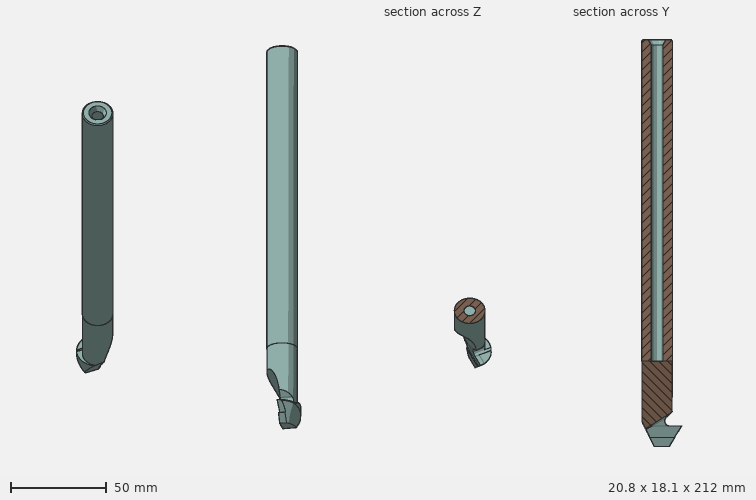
import cadquery as cq
import math

TOTAL_LENGTH = 212.0
CLEARANCE = 84.8

SHANK_DIAMETER = 16.1
SHANK_CHAMFER = 0.6
BORE_DIAMETER = 6.0
CENTRE_MOUTH_DIAMETER = 9.1
CENTRE_ANGLE = 60.0

HEAD_LENGTH = 44.5
NECK_DIAMETER = 16.0

FLANGE_X = -2.3
FLANGE_Y = 0.5
FLANGE_RADIUS = 10.5
FLANGE_HEIGHT = 11.2
FLANK_X = 0.8
FLANK_Y = 2.0
FLANK_BOTTOM_RADIUS = 9.1
FLANK_ANGLE = 26.0

TIP_X = -13.0
TIP_Z = 10.8
EDGE_STEP_Z = 4.9
UPPER_LAND_FOOT_X = -9.1
LOWER_LAND_TOP_X = -9.3
LOWER_LAND_FOOT_X = -6.4
RAKE_DROP = 0.6

BACK_CUT_TOP_Z = 13.1
BACK_CUT_FOOT_X = 1.5

NOTCH_RADIUS = 2.5
NOTCH_CENTRE_X = -6.5
NOTCH_ROOF_ANGLE = 45.0
TIP_LAND_WIDTH = 2.3
TIP_RELIEF_ANGLE = 4.0

FLUTE_FLAT_END = 10.5
FLUTE_RADIUS = 19.5
FLUTE_TILT = 30.0


def make_shank():
    radius = SHANK_DIAMETER / 2
    bore_radius = BORE_DIAMETER / 2
    mouth_radius = CENTRE_MOUTH_DIAMETER / 2
    mouth_depth = (mouth_radius - bore_radius) / math.tan(math.radians(CENTRE_ANGLE / 2))
    half_section = [
        (bore_radius, HEAD_LENGTH),
        (radius, HEAD_LENGTH),
        (radius, TOTAL_LENGTH - SHANK_CHAMFER),
        (radius - SHANK_CHAMFER, TOTAL_LENGTH),
        (mouth_radius, TOTAL_LENGTH),
        (bore_radius, TOTAL_LENGTH - mouth_depth),
    ]
    return cq.Workplane("XZ").polyline(half_section).close().revolve(360, (0, 0), (0, 1))


def make_flange():
    """Offset disc, tapered by the conical flank and trimmed flat along the cutting edge."""
    flange = cq.Workplane("XY").center(FLANGE_X, FLANGE_Y).circle(FLANGE_RADIUS).extrude(FLANGE_HEIGHT)
    top_radius = FLANK_BOTTOM_RADIUS + FLANGE_HEIGHT * math.tan(math.radians(FLANK_ANGLE))
    flank = cq.Solid.makeCone(
        FLANK_BOTTOM_RADIUS, top_radius, FLANGE_HEIGHT, pnt=cq.Vector(FLANK_X, FLANK_Y, 0)
    )
    lands = [
        (TIP_X, FLANGE_HEIGHT),
        (TIP_X, TIP_Z),
        (UPPER_LAND_FOOT_X, EDGE_STEP_Z),
        (LOWER_LAND_TOP_X, EDGE_STEP_Z),
        (LOWER_LAND_FOOT_X, 0),
        (CLEARANCE, 0),
        (CLEARANCE, FLANGE_HEIGHT),
    ]
    lands_envelope = cq.Workplane("XZ").polyline(lands).close().extrude(CLEARANCE, both=True)
    return flange.intersect(cq.Workplane(flank)).intersect(lands_envelope)


def make_notch():
    """Notch along Y through the head: flat floor, round root and sloping roof."""
    centre_z = TIP_Z + NOTCH_RADIUS
    roof_angle = math.radians(NOTCH_ROOF_ANGLE)
    root_x = NOTCH_CENTRE_X + NOTCH_RADIUS
    roof_x = NOTCH_CENTRE_X + NOTCH_RADIUS * math.sin(roof_angle)
    roof_z = centre_z + NOTCH_RADIUS * math.cos(roof_angle)
    mouth_x = 2 * TIP_X
    mouth_roof_z = roof_z + (roof_x - mouth_x) * math.tan(roof_angle)
    return (
        cq.Workplane("XZ")
        .moveTo(mouth_x, TIP_Z)
        .lineTo(NOTCH_CENTRE_X, TIP_Z)
        .radiusArc((root_x, centre_z), -NOTCH_RADIUS)
        .radiusArc((roof_x, roof_z), -NOTCH_RADIUS)
        .lineTo(mouth_x, mouth_roof_z)
        .close()
        .extrude(CLEARANCE, both=True)
    )


def make_tip_relief():
    """Wedge that slopes the notch floor down towards -Y behind the land of the tip."""
    drop = CLEARANCE * math.tan(math.radians(TIP_RELIEF_ANGLE))
    near_y = -TIP_LAND_WIDTH
    far_y = near_y - CLEARANCE
    wedge = [(near_y, TIP_Z), (far_y, TIP_Z), (far_y, TIP_Z - drop)]
    return cq.Workplane("YZ", origin=(NOTCH_CENTRE_X, 0, 0)).polyline(wedge).close().extrude(-CLEARANCE)


def make_flute():
    """Flat rake plane that rises through an arc out of the neck, on an axis tilted about Y."""
    run_out = FLUTE_FLAT_END + FLUTE_RADIUS
    return (
        cq.Workplane("YZ")
        .moveTo(0, -CLEARANCE)
        .lineTo(0, FLUTE_FLAT_END)
        .radiusArc((FLUTE_RADIUS, run_out), FLUTE_RADIUS)
        .lineTo(FLUTE_RADIUS, -CLEARANCE)
        .close()
        .extrude(CLEARANCE, both=True)
        .rotate((0, 0, 0), (0, 1, 0), FLUTE_TILT)
    )


def make_ground_rake():
    """Wedge that slopes the rake face inwards from the tip to the edge step."""
    wedge = [(0, TIP_Z), (-RAKE_DROP, EDGE_STEP_Z), (0, EDGE_STEP_Z)]
    return cq.Workplane("YZ").polyline(wedge).close().extrude(CLEARANCE, both=True)


def make_back_cut():
    """Wedge that slopes the +X side of the head in towards its foot."""
    top_x = NECK_DIAMETER / 2
    wedge = [(top_x, BACK_CUT_TOP_Z), (BACK_CUT_FOOT_X, 0), (CLEARANCE, 0), (CLEARANCE, BACK_CUT_TOP_Z)]
    return cq.Workplane("XZ").polyline(wedge).close().extrude(CLEARANCE, both=True)


def make_head():
    neck = (
        cq.Workplane("XY", origin=(0, 0, FLANGE_HEIGHT))
        .circle(NECK_DIAMETER / 2)
        .extrude(HEAD_LENGTH - FLANGE_HEIGHT)
    )
    head = neck.union(make_flange())
    head = head.cut(make_flute())
    head = head.cut(make_notch())
    head = head.cut(make_tip_relief())
    head = head.cut(make_back_cut())
    return head.cut(make_ground_rake())


shank = make_shank()
head = make_head()
result = cq.Compound.makeCompound([shank.val(), *head.vals()])